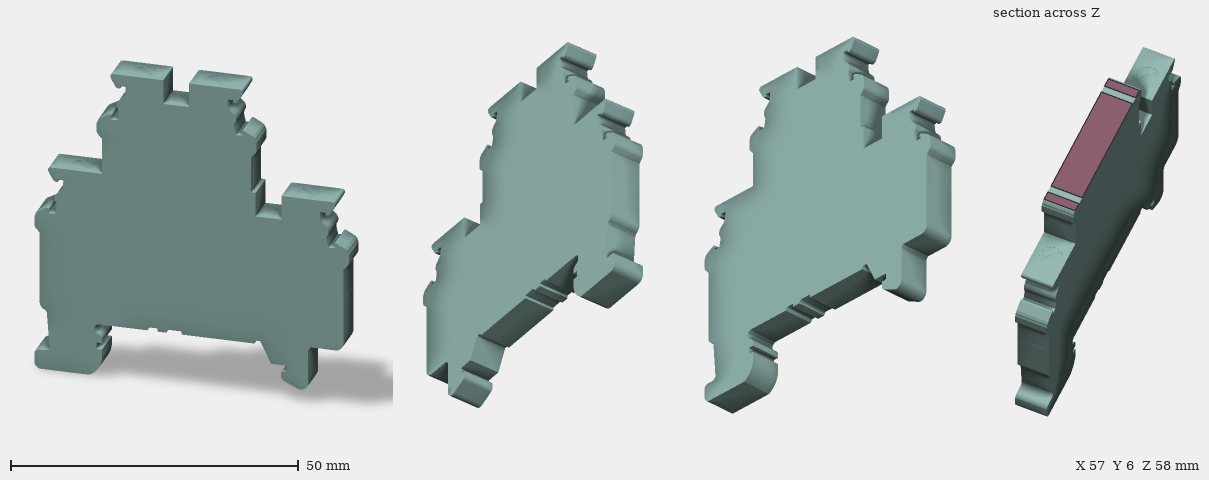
import cadquery as cq

thickness = 6.0
height = 58.0

lower_half_width = 27.54
lower_top = 38.68
upper_center_x = -2.72
upper_half_width = 13.52
upper_top = height

tier_overlap = 1.0

clip_depth = 4.95
clip_height = 12.65
clip_overhang = 0.96

notch_width = 4.67
notch_depth = 4.52
upper_notch_x = -2.8
lower_notch_x = 13.95

feature_y = -0.3
mark_depth = 0.04
screw_diameter = 4.1
screw_slot_width = 0.85
screw_slot_angle = -45.0
lower_screw_x = 20.45
upper_screw_xs = (-9.15, 3.7)
test_point_diameter = 2.5
entry_height = 5.85
entry_bottom_gap = 0.65
entry_inner_width = 3.3
entry_inner_height = 4.15

foot_shoulder_z = lower_top - clip_height
rail_face_z = 9.85
rail_recess_z = 10.45
recess_rib_x = -6.15
recess_end_x = -1.87
toe_x = -lower_half_width - clip_overhang
toe_top_z = 3.65
fixed_hook_x = -16.25
hook_slit_x = fixed_hook_x - 1.0
hook_slit_bottom = 5.1
hook_slit_top = 6.33
spring_hook_x = 16.25
spring_hook_top = 5.15
spring_pocket_x = 17.3
spring_pocket_top = 6.37
spring_leg_x = 21.13
corner_radius = 1.5


def extrude_outline(outline):
    """Extrude a closed XZ outline over the full thickness, centred on Y = 0."""
    return outline.close().extrude(thickness / 2, both=True)


def block(x_min, x_max, z_min, z_max):
    """Full-thickness box between the given X and Z limits."""
    return (
        cq.Workplane("XY")
        .box(x_max - x_min, thickness, z_max - z_min)
        .translate(((x_min + x_max) / 2, 0, (z_min + z_max) / 2))
    )


def clip(wall_x, side, top_z):
    """Shoulder with the marker groove; side is -1 for a left wall and +1 for a right wall."""

    def at(inward, up):
        return (wall_x - side * inward, top_z + up)

    outline = (
        cq.Workplane("XZ")
        .moveTo(*at(clip_depth, 0))
        .lineTo(*at(1.93, 0))
        .threePointArc(at(1.66, -0.12), at(1.54, -0.40))
        .threePointArc(at(1.53, -0.65), at(1.62, -0.88))
        .lineTo(*at(2.38, -2.24))
        .threePointArc(at(2.62, -2.50), at(2.95, -2.63))
        .lineTo(*at(3.25, -2.63))
        .lineTo(*at(3.25, -2.15))
        .lineTo(*at(4.15, -2.15))
        .threePointArc(at(4.28, -2.25), at(4.30, -2.45))
        .lineTo(*at(4.12, -3.80))
        .lineTo(*at(3.85, -4.20))
        .lineTo(*at(3.12, -4.90))
        .tangentArcPoint(at(3.00, -6.65), relative=False)
        .lineTo(*at(3.08, -7.15))
        .lineTo(*at(3.00, -7.65))
        .lineTo(*at(2.75, -8.75))
        .lineTo(*at(1.75, -8.75))
        .threePointArc(at(1.53, -8.55), at(1.75, -8.37))
        .lineTo(*at(1.75, -8.00))
        .threePointArc(at(1.50, -7.78), at(1.18, -7.83))
        .lineTo(*at(-0.35, -8.66))
        .lineTo(*at(-0.72, -9.05))
        .lineTo(*at(-0.82, -9.45))
        .lineTo(*at(-clip_overhang, -9.65))
        .lineTo(*at(-clip_overhang, -11.40))
        .lineTo(*at(-0.80, -11.80))
        .lineTo(*at(0, -clip_height))
        .lineTo(*at(clip_depth, -clip_height))
    )
    return extrude_outline(outline)


def tier(center_x, half_width, top_z, bottom_z):
    """Tier core, clips on both shoulders, and the plain walls below the clips."""
    left = center_x - half_width
    right = center_x + half_width
    shoulder_z = top_z - clip_height
    core = block(left + clip_depth, right - clip_depth, shoulder_z, top_z)
    walls = block(left, right, bottom_z, shoulder_z)
    return core.union(walls).union(clip(left, -1, top_z)).union(clip(right, 1, top_z))


def foot():
    """Lower body with the fixed rail hook on the left and the spring hook on the right."""
    outline = (
        cq.Workplane("XZ")
        .moveTo(-lower_half_width, foot_shoulder_z)
        .lineTo(-lower_half_width, 12.65)
        .threePointArc((-27.25, 11.86), (-26.55, 11.35))
        .lineTo(-26.25, 11.00)
        .lineTo(-25.77, 4.75)
        .threePointArc((-25.95, 3.90), (-26.50, toe_top_z))
        .lineTo(-27.50, toe_top_z)
        .threePointArc((-28.15, 3.48), (toe_x, 3.00))
        .lineTo(toe_x, 1.25)
        .threePointArc((-28.16, 0.39), (-27.40, 0))
        .lineTo(-18.50, 0)
        .threePointArc((-16.83, 1.55), (fixed_hook_x, 4.20))
        .lineTo(fixed_hook_x, hook_slit_bottom)
        .lineTo(hook_slit_x, hook_slit_bottom)
        .lineTo(hook_slit_x, hook_slit_top)
        .lineTo(fixed_hook_x, hook_slit_top)
        .lineTo(fixed_hook_x, 7.25)
        .threePointArc((-16.55, 7.70), (-17.20, 8.05))
        .threePointArc((-17.60, 8.75), (-17.50, 9.50))
        .lineTo(-17.00, rail_face_z)
        .lineTo(-8.00, rail_face_z)
        .lineTo(-7.65, rail_recess_z)
        .lineTo(recess_rib_x, rail_recess_z)
        .lineTo(recess_rib_x, rail_face_z)
        .lineTo(-4.60, rail_face_z)
        .threePointArc((-4.45, 10.25), (-4.05, rail_recess_z))
        .lineTo(recess_end_x, rail_recess_z)
        .lineTo(recess_end_x, rail_face_z)
        .lineTo(11.35, rail_face_z)
        .threePointArc((11.45, 10.25), (11.80, rail_recess_z))
        .lineTo(12.40, rail_recess_z)
        .lineTo(14.45, spring_pocket_top)
        .lineTo(spring_pocket_x, spring_pocket_top)
        .lineTo(spring_pocket_x, 5.50)
        .threePointArc((17.17, 5.25), (16.90, spring_hook_top))
        .lineTo(spring_hook_x, spring_hook_top)
        .lineTo(spring_hook_x, 4.00)
        .threePointArc((16.37, 3.70), (16.65, 3.45))
        .lineTo(19.00, 2.35)
        .threePointArc((20.35, 2.27), (spring_leg_x, 3.30))
        .lineTo(spring_leg_x, rail_face_z)
        .lineTo(21.60, rail_recess_z)
        .lineTo(lower_half_width - corner_radius, rail_recess_z)
        .tangentArcPoint((lower_half_width, rail_recess_z + corner_radius), relative=False)
        .lineTo(lower_half_width, foot_shoulder_z)
    )
    return extrude_outline(outline)


def notch(center_x, top_z):
    """Full-thickness slot opening at the top of a tier."""
    half = notch_width / 2
    return block(center_x - half, center_x + half, top_z - notch_depth, top_z)


def round_recess(x, top_z, diameter):
    """Shallow round recess below a flat top."""
    return (
        cq.Workplane("XY", origin=(x, feature_y, top_z - mark_depth))
        .circle(diameter / 2)
        .extrude(mark_depth)
    )


def screw_recess(x, top_z):
    """Recessed screw head with a driver slot one step deeper."""
    head = round_recess(x, top_z, screw_diameter)
    slot_band = (
        cq.Workplane("XY", origin=(x, feature_y, top_z - 2 * mark_depth))
        .transformed(rotate=(0, 0, screw_slot_angle))
        .rect(2 * screw_diameter, screw_slot_width)
        .extrude(mark_depth)
    )
    slot = round_recess(x, top_z - mark_depth, screw_diameter).intersect(slot_band)
    return head.union(slot)


def wire_entry(wall_x, side, bottom_z):
    """Shallow tapered entry, full width at the wall and narrowing to a rectangle."""
    center_z = bottom_z + entry_height / 2
    plane = cq.Plane(origin=(wall_x, 0, center_z), xDir=(0, 1, 0), normal=(-side, 0, 0))
    return (
        cq.Workplane(plane)
        .rect(thickness, entry_height)
        .workplane(offset=mark_depth)
        .center(feature_y, 0)
        .rect(entry_inner_width, entry_inner_height)
        .loft(combine=True)
    )


lower_tier = tier(0, lower_half_width, lower_top, foot_shoulder_z - tier_overlap)
upper_tier = tier(upper_center_x, upper_half_width, upper_top, lower_top - tier_overlap)
result = foot().union(lower_tier).union(upper_tier).clean()

result = result.cut(notch(upper_notch_x, upper_top))
result = result.cut(notch(lower_notch_x, lower_top))

for screw_x in upper_screw_xs:
    result = result.cut(screw_recess(screw_x, upper_top))
for side in (-1, 1):
    result = result.cut(screw_recess(side * lower_screw_x, lower_top))

result = result.cut(round_recess(upper_notch_x, upper_top - notch_depth, test_point_diameter))
result = result.cut(round_recess(lower_notch_x, lower_top - notch_depth, test_point_diameter))

upper_entry_z = lower_top + entry_bottom_gap
lower_entry_z = upper_entry_z - (upper_top - lower_top)
for side in (-1, 1):
    result = result.cut(wire_entry(upper_center_x + side * upper_half_width, side, upper_entry_z))
    result = result.cut(wire_entry(side * lower_half_width, side, lower_entry_z))